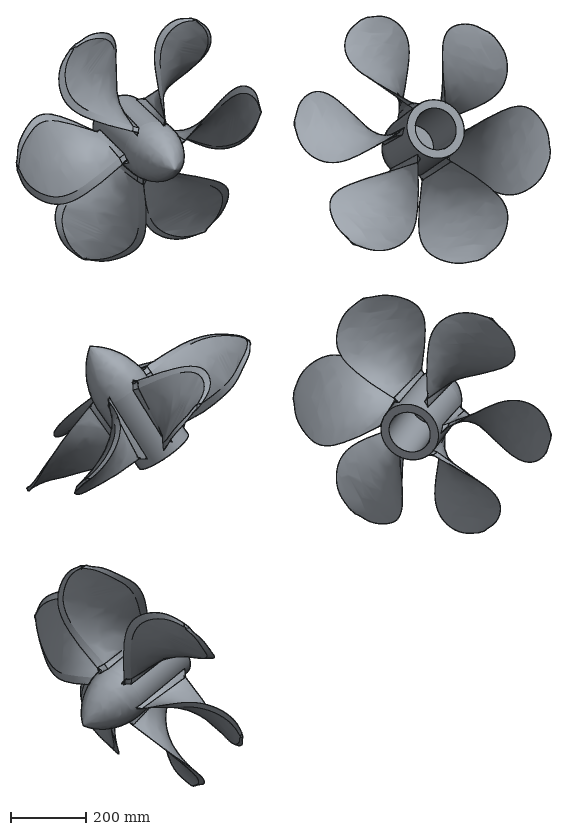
import cadquery as cq
import math

hub_diameter = 160.0
hub_radius = hub_diameter / 2
hub_length = 201.0
nose_length = 150
nose_middle_radius = 61.5
bore_diameter = 114

blade_count = 6
blade_lean = 2.7
blade_thickness = 8.0
edge_bevel = 20.0
bevel_share = 0.4

blade_stations = [
    (68.0, 37.0, 220.0, 3.0),
    (93, 37.0, 217.0, 13.5),
    (143, 41.0, 208.5, 50),
    (193, 49.0, 198.0, 83.0),
    (236, 59.0, 184.0, 104.0),
    (271.5, 70.0, 169.0, 109.0),
    (307, 87.0, 150, 96.5),
    (332.0, 98.5, 136, 73.5),
    (348.5, 108.0, 125.0, 43),
    (357, 114, 118.5, 11.0),
]

root_base_radius = 74.0
root_top_radius = 93.5
root_aft_x = 18.5
root_forward_x = 223.0
root_base_thickness = 21.5
root_aft_share = 0.4
root_top_aft_x = 36.5
root_top_forward_x = 217.0
root_base_half_width = 3.0
root_top_half_width = 13.5


def make_hub():
    """Cylinder and ogive nose in one revolved outline, then bored to the nose."""
    nose_middle_x = hub_length + nose_length / 2
    body = (
        cq.Workplane("XY")
        .lineTo(0, hub_radius)
        .lineTo(hub_length, hub_radius)
        .threePointArc((nose_middle_x, nose_middle_radius), (hub_length + nose_length, 0))
        .close()
        .revolve(360, (0, 0, 0), (1, 0, 0))
    )
    bore = cq.Workplane("YZ").circle(bore_diameter / 2).extrude(hub_length)
    return body.cut(bore)


def section_wire(radius, aft_x, forward_x, half_width, thickness, bevel, back_share):
    """Trapezoid across a blade along +Y, with back_share of its thickness on the aft side."""
    span_x = forward_x - aft_x
    chord = math.hypot(span_x, 2 * half_width)
    along = cq.Vector(span_x, 0, 2 * half_width) / chord
    normal = cq.Vector(along.z, 0, -along.x)
    aft_shift = normal * (-thickness * back_share)
    forward_shift = normal * (thickness * (1 - back_share))
    start = cq.Vector(aft_x, radius, -half_width)
    end = cq.Vector(forward_x, radius, half_width)
    corners = [
        start + aft_shift,
        end + aft_shift,
        end + forward_shift - along * bevel,
        start + forward_shift + along * bevel,
    ]
    return cq.Wire.makePolygon(corners, close=True)


def make_blade():
    """Twisted blade: nearly axial at the hub and turning across the axis toward the tip."""
    sections = []
    for radius, aft_x, forward_x, half_width in blade_stations:
        chord = math.hypot(forward_x - aft_x, 2 * half_width)
        bevel = min(edge_bevel, bevel_share * chord)
        sections.append(section_wire(radius, aft_x, forward_x, half_width, blade_thickness, bevel, 0))
    return cq.Workplane(cq.Solid.makeLoft(sections))


def make_root():
    """Tapered flare that widens the blade toward the hub surface."""
    base = section_wire(
        root_base_radius, root_aft_x, root_forward_x, root_base_half_width,
        root_base_thickness, edge_bevel, root_aft_share,
    )
    top = section_wire(
        root_top_radius, root_top_aft_x, root_top_forward_x, root_top_half_width,
        blade_thickness, edge_bevel, 0,
    )
    return cq.Workplane(cq.Solid.makeLoft([base, top], True))


blade = make_blade().union(make_root())
result = make_hub()
for index in range(blade_count):
    angle = blade_lean + index * 360 / blade_count
    result = result.union(blade.rotate((0, 0, 0), (1, 0, 0), angle))